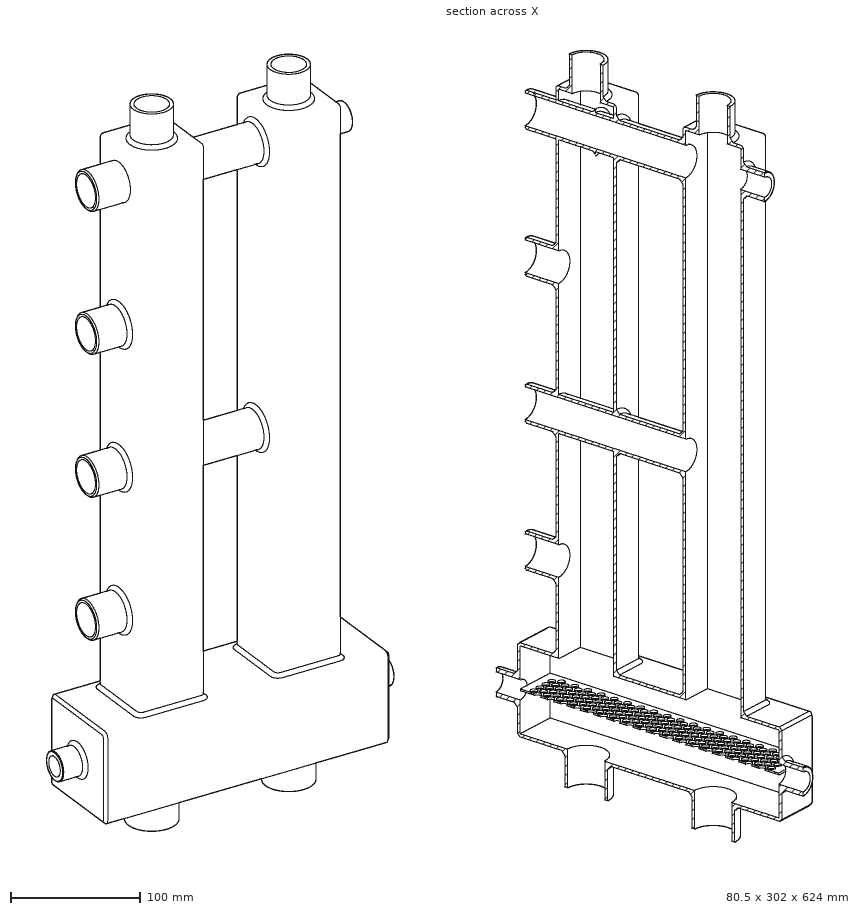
import cadquery as cq
import math

nipple_length = 30.0
base_side = 80.5
base_length = 260.0
overall_length = 302.0
base_corner_radius = 4.5
base_end_chamfer = 2.5
column_side = 60.0
column_corner_radius = 4.0
column_top_radius = 3.0
column_y = 62.5
overall_height = 624.0
wall = 3.0
weld = 3.0

base_bottom = nipple_length
base_center_z = base_bottom + base_side / 2
base_top = base_bottom + base_side
column_top = overall_height - nipple_length
front_face_y = -column_y - column_side / 2
gap_half = column_y - column_side / 2

header_diameter = 34.0
header_bore = 27.5
header_chamfer = 1.0
supply_diameter = 42.5
supply_bore = 36.0
service_diameter = 25.0
service_bore = 17.0
service_chamfer = 0.5
service_length = (overall_length - base_length) / 2

outlet_pitch = 125.0
top_outlet_z = 565.0
crossing_levels = [top_outlet_z, top_outlet_z - 2 * outlet_pitch]
local_levels = [top_outlet_z - outlet_pitch, top_outlet_z - 3 * outlet_pitch]
inner_weld_offset = 6.0

plate_thickness = 2.0
hole_diameter = 6.0
hole_pitch = 7.5
row_pitch = hole_pitch * math.sqrt(3) / 2
plate_margin = 3.0

Y = cq.Vector(0, 1, 0)
Z = cq.Vector(0, 0, 1)


def rod(start, direction, length, diameter):
    """Round bar from start along direction."""
    return cq.Workplane(cq.Solid.makeCylinder(diameter / 2, length, start, direction))


def weld_bead(start, direction, diameter):
    """Conical bead that narrows from a face down to the pipe it surrounds."""
    return cq.Workplane(cq.Solid.makeCone(diameter / 2 + weld, diameter / 2, weld, start, direction))


def nipple(start, direction, length, diameter, chamfer=0):
    """Solid pipe stub with a bead at its root and an optional chamfer at its tip."""
    stub = rod(start, direction, length, diameter)
    if chamfer:
        tip = cq.selectors.DirectionMinMaxSelector(direction, True)
        stub = stub.faces(tip).edges().chamfer(chamfer)
    return stub.union(weld_bead(start, direction, diameter))


def box(width, length, bottom, top, y=0):
    """Upright block centred on x = 0 between two heights."""
    return cq.Workplane("XY", origin=(0, y, bottom)).rect(width, length).extrude(top - bottom)


def base_body():
    """Solid base block with rounded long edges and chamfered ends."""
    body = box(base_side, base_length, base_bottom, base_top).edges("|Y").fillet(base_corner_radius)
    return body.faces("<Y or >Y").chamfer(base_end_chamfer)


def column_body(y):
    """Solid column with a sloped weld around its foot."""
    body = box(column_side, column_side, base_top, column_top, y)
    body = body.edges("|Z").fillet(column_corner_radius).faces(">Z").edges().fillet(column_top_radius)
    foot_side = column_side + 2 * weld
    foot_outline = cq.Sketch().rect(foot_side, foot_side)
    foot_outline = foot_outline.vertices().fillet(column_corner_radius + weld)
    foot = cq.Workplane("XY", origin=(0, y, base_top)).placeSketch(foot_outline)
    foot = foot.extrude(weld, taper=45)
    return body.union(foot)


def perforated_plate():
    """Thin plate with staggered rows of round holes."""
    width = base_side - 2 * wall
    length = base_length - 2 * wall
    x_limit = width / 2 - plate_margin - hole_diameter / 2
    y_limit = length / 2 - plate_margin - hole_diameter / 2
    rows_per_side = math.floor(y_limit / row_pitch)
    holes_per_side = math.ceil(x_limit / hole_pitch)
    centers = []
    for row in range(-rows_per_side, rows_per_side + 1):
        shift = hole_pitch / 2 * ((row + 1) % 2)
        for column in range(-holes_per_side, holes_per_side + 1):
            x = column * hole_pitch + shift
            if abs(x) <= x_limit:
                centers.append((x, row * row_pitch))
    plate = cq.Workplane("XY", origin=(0, 0, base_center_z - plate_thickness / 2)).rect(width, length)
    return plate.pushPoints(centers).circle(hole_diameter / 2).extrude(plate_thickness)


body = base_body()
for y in (-column_y, column_y):
    body = body.union(column_body(y))
    body = body.union(nipple(cq.Vector(0, y, column_top), Z, nipple_length, header_diameter))
    body = body.union(nipple(cq.Vector(0, y, base_bottom), -Z, nipple_length, supply_diameter))
for level in local_levels + crossing_levels[1:]:
    start = cq.Vector(0, front_face_y, level)
    body = body.union(nipple(start, -Y, nipple_length, header_diameter, header_chamfer))

service_roots = [
    (cq.Vector(0, -base_length / 2, base_center_z), -Y),
    (cq.Vector(0, base_length / 2, base_center_z), Y),
    (cq.Vector(0, column_y + column_side / 2, top_outlet_z), Y),
]
for root, direction in service_roots:
    body = body.union(nipple(root, direction, service_length, service_diameter, service_chamfer))

body = body.cut(box(base_side - 2 * wall, base_length - 2 * wall, base_bottom + wall, base_top - wall))
for y in (-column_y, column_y):
    inside = column_side - 2 * wall
    body = body.cut(box(inside, inside, base_top - wall, column_top - wall, y))
    body = body.cut(rod(cq.Vector(0, y, column_top - wall), Z, nipple_length + wall, header_bore))
    body = body.cut(rod(cq.Vector(0, y, 0), Z, nipple_length + wall, supply_bore))
for level in local_levels:
    start = cq.Vector(0, front_face_y + wall, level)
    body = body.cut(rod(start, -Y, nipple_length + wall, header_bore))
for root, direction in service_roots:
    body = body.cut(rod(root - direction * wall, direction, service_length + wall, service_bore))

crossing_start_y = front_face_y - nipple_length
crossing_length = gap_half + wall - crossing_start_y
for level in crossing_levels:
    start = cq.Vector(0, crossing_start_y, level)
    pipe = rod(start, Y, crossing_length, header_diameter).faces("<Y").chamfer(header_chamfer)
    pipe = pipe.union(weld_bead(cq.Vector(0, -gap_half, level), Y, header_diameter))
    pipe = pipe.union(weld_bead(cq.Vector(0, gap_half, level), -Y, header_diameter))
    if level == top_outlet_z:
        bead_y = -column_y + inner_weld_offset + weld
        pipe = pipe.union(weld_bead(cq.Vector(0, bead_y, level), -Y, header_diameter))
    body = body.union(pipe).cut(rod(start, Y, crossing_length, header_bore))

result = body.union(perforated_plate())